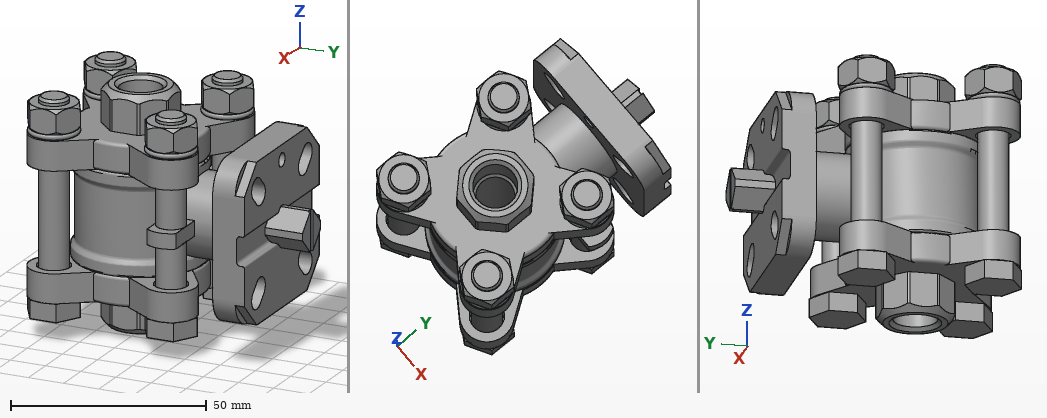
import cadquery as cq
import math


TOTAL_LENGTH = 72.6
TOTAL_HEIGHT = 65.0

BODY_RADIUS = 17.0
COLLAR_RADIUS = 18.0
COLLAR_EDGE = 0.5
SHOULDER_START = 9.0
SHOULDER_END = 11.0
SHOULDER_ARC_RADIUS = 0.95

FLANGE_INNER = 13.95
FLANGE_OUTER = 22.1
DISC_EDGE = 1.0
EAR_RADIUS = 7.0
EAR_FLANK_ANGLE = 34.2

BOLT_OFFSET = 16.6
BOLT_DIAMETER = 8.0
BOLT_HOLE_DIAMETER = 9.0
HEX_FLATS = 12.9
HEX_CORNERS = HEX_FLATS / math.cos(math.pi / 6)
BOLT_HEAD_HEIGHT = 5.0
WASHER_DIAMETER = 13.7
WASHER_THICKNESS = 1.45
NUT_HEIGHT = 7.0
NUT_CHAMFER = 1.1
BOLT_TIP = 32.1
TIP_CHAMFER_HEIGHT = 0.8
TIP_CHAMFER_WIDTH = 0.6

PORT_END = TOTAL_HEIGHT / 2
PORT_FLATS = 19.2
PORT_TURNED_DIAMETER = 20.5
PORT_CHAMFER = 1.9
THREAD_MOUTH_DIAMETER = 13.5
THREAD_DIAMETER = 11.5
THREAD_DEPTH = 11.6
BORE_DIAMETER = 10.0

NECK_DIAMETER = 22.7
PLATE_INNER = 31.1
PLATE_OUTER = 40.1
PLATE_WIDTH = 44.3
PLATE_CORNER_RADIUS = 8.2
CORNER_CUT_LEG = 7.3
CORNER_CUT_DEPTH = 2.6
GROOVE_WIDTH = 8.0
GROOVE_DEPTH = 2.2
GROOVE_BOTTOM_RADIUS = 1.0
GROOVE_TOP_RADIUS = 0.5
SLOT_INNER_RADIUS = 18.0
SLOT_OUTER_RADIUS = 21.0
SLOT_WIDTH = 5.95
PIN_HOLE_DIAMETER = 3.7
PIN_HOLE_HEIGHT = 18.0

STEM_END = TOTAL_LENGTH - BOLT_OFFSET - HEX_CORNERS / 2
STEM_WIDTH = 10.75
STEM_HEIGHT = 11.2
STEM_SQUARE = 9.0
STEM_MARK_WIDTH = 1.45
STEM_MARK_DEPTH = 0.5

LUG_WIDTH = 8.1
LUG_THICKNESS = 4.2

BOLT_CENTERS = [(x * BOLT_OFFSET, y * BOLT_OFFSET) for x in (-1, 1) for y in (-1, 1)]


def cylinder(diameter, bottom, top):
    return cq.Workplane("XY").workplane(offset=bottom).circle(diameter / 2).extrude(top - bottom)


def hexagon(bottom, top):
    """Hexagonal prism with two corners on the Y axis."""
    prism = cq.Workplane("XY").workplane(offset=bottom).polygon(6, HEX_CORNERS).extrude(top - bottom)
    return prism.rotate((0, 0, 0), (0, 0, 1), 90)


def mirrored_in_z(solid):
    return solid.union(solid.mirror("XY"))


def make_body():
    """Upper half of the barrel, turned about Z, then mirrored."""
    arc_width = SHOULDER_ARC_RADIUS * (1 - math.cos(math.pi / 4))
    arc_height = SHOULDER_ARC_RADIUS * math.sin(math.pi / 4)
    mid_width = SHOULDER_ARC_RADIUS * (1 - math.cos(math.pi / 8))
    mid_height = SHOULDER_ARC_RADIUS * math.sin(math.pi / 8)
    half = (
        cq.Workplane("XZ")
        .lineTo(BODY_RADIUS, 0)
        .lineTo(BODY_RADIUS, SHOULDER_START)
        .threePointArc(
            (BODY_RADIUS + mid_width, SHOULDER_START + mid_height),
            (BODY_RADIUS + arc_width, SHOULDER_START + arc_height),
        )
        .lineTo(COLLAR_RADIUS - arc_width, SHOULDER_END - arc_height)
        .threePointArc(
            (COLLAR_RADIUS - mid_width, SHOULDER_END - mid_height),
            (COLLAR_RADIUS, SHOULDER_END),
        )
        .lineTo(COLLAR_RADIUS, FLANGE_INNER - COLLAR_EDGE)
        .radiusArc((COLLAR_RADIUS - COLLAR_EDGE, FLANGE_INNER), -COLLAR_EDGE)
        .lineTo(0, FLANGE_INNER)
        .close()
        .revolve(360, (0, 0, 0), (0, 1, 0))
    )
    return mirrored_in_z(half)


def make_flange():
    """Upper flange: a round disc crossed by four ears with tangent flanks."""
    thickness = FLANGE_OUTER - FLANGE_INNER
    plane = cq.Workplane("XY").workplane(offset=FLANGE_INNER)
    flange = plane.circle(COLLAR_RADIUS).extrude(thickness).edges().fillet(DISC_EDGE)

    angle = math.radians(EAR_FLANK_ANGLE)
    tangent_x = BOLT_OFFSET - EAR_RADIUS * math.sin(angle)
    tangent_y = BOLT_OFFSET + EAR_RADIUS * math.cos(angle)
    flank_foot = tangent_y - tangent_x * math.tan(angle)
    tip = BOLT_OFFSET + EAR_RADIUS / math.sqrt(2)
    ear = (
        plane.lineTo(0, flank_foot)
        .lineTo(tangent_x, tangent_y)
        .threePointArc((tip, tip), (tangent_y, tangent_x))
        .lineTo(flank_foot, 0)
        .close()
        .extrude(thickness)
    )
    for quarter in range(4):
        flange = flange.union(ear.rotate((0, 0, 0), (0, 0, 1), 90 * quarter))

    holes = plane.pushPoints(BOLT_CENTERS).circle(BOLT_HOLE_DIAMETER / 2).extrude(thickness)
    return flange.cut(holes)


def make_port():
    """Upper octagonal port with its turned, chamfered end."""
    octagon = (
        cq.Workplane("XY")
        .workplane(offset=FLANGE_OUTER)
        .polygon(8, PORT_FLATS / math.cos(math.pi / 8))
        .extrude(PORT_END - FLANGE_OUTER)
        .rotate((0, 0, 0), (0, 0, 1), 22.5)
    )
    turned = cylinder(PORT_TURNED_DIAMETER, FLANGE_OUTER, PORT_END).faces(">Z").chamfer(PORT_CHAMFER)
    return octagon.intersect(turned)


def make_bore():
    """Through bore with a chamfered threaded mouth at each end."""
    mouth = (THREAD_MOUTH_DIAMETER - THREAD_DIAMETER) / 2
    step = (THREAD_DIAMETER - BORE_DIAMETER) / 2
    thread_end = PORT_END - THREAD_DEPTH
    half = (
        cq.Workplane("XZ")
        .lineTo(BORE_DIAMETER / 2, 0)
        .lineTo(BORE_DIAMETER / 2, thread_end - step)
        .lineTo(THREAD_DIAMETER / 2, thread_end)
        .lineTo(THREAD_DIAMETER / 2, PORT_END - mouth)
        .lineTo(THREAD_MOUTH_DIAMETER / 2, PORT_END)
        .lineTo(0, PORT_END)
        .close()
        .revolve(360, (0, 0, 0), (0, 1, 0))
    )
    return mirrored_in_z(half)


def make_bolt():
    """Bolt on the Z axis with its head below and washer and nut above."""
    head = hexagon(-FLANGE_OUTER - BOLT_HEAD_HEIGHT, -FLANGE_OUTER)
    shank = (
        cylinder(BOLT_DIAMETER, -FLANGE_OUTER, BOLT_TIP)
        .faces(">Z")
        .edges()
        .chamfer(TIP_CHAMFER_HEIGHT, TIP_CHAMFER_WIDTH)
    )
    nut_bottom = FLANGE_OUTER + WASHER_THICKNESS
    nut_top = nut_bottom + NUT_HEIGHT
    rim_radius = WASHER_THICKNESS / 2
    flat_radius = WASHER_DIAMETER / 2 - rim_radius
    washer = (
        cq.Workplane("XZ", origin=(0, 0, FLANGE_OUTER))
        .lineTo(flat_radius, 0)
        .threePointArc((WASHER_DIAMETER / 2, rim_radius), (flat_radius, WASHER_THICKNESS))
        .lineTo(0, WASHER_THICKNESS)
        .close()
        .revolve(360, (0, 0, 0), (0, 1, 0))
    )
    nut_turning = cylinder(HEX_CORNERS, nut_bottom, nut_top).edges().chamfer(NUT_CHAMFER)
    nut = hexagon(nut_bottom, nut_top).intersect(nut_turning)
    return head.union(shank).union(washer).union(nut)


def along_y(start):
    """Sketch plane facing -Y at the given Y; local axes are X and Z."""
    return cq.Workplane("XZ", origin=(0, start, 0))


def make_plate():
    thickness = PLATE_OUTER - PLATE_INNER
    half = PLATE_WIDTH / 2
    plate = (
        along_y(PLATE_INNER)
        .rect(PLATE_WIDTH, PLATE_WIDTH)
        .extrude(-thickness)
        .edges("|Y")
        .fillet(PLATE_CORNER_RADIUS)
    )

    corner_cut = (
        along_y(PLATE_OUTER)
        .moveTo(half, half)
        .lineTo(half - CORNER_CUT_LEG, half)
        .lineTo(half, half - CORNER_CUT_LEG)
        .close()
        .extrude(CORNER_CUT_DEPTH)
    )
    slot_middle = (SLOT_INNER_RADIUS + SLOT_OUTER_RADIUS) / 2
    slot_length = SLOT_OUTER_RADIUS - SLOT_INNER_RADIUS + SLOT_WIDTH
    slot = (
        along_y(PLATE_INNER)
        .center(slot_middle / math.sqrt(2), slot_middle / math.sqrt(2))
        .slot2D(slot_length, SLOT_WIDTH, 45)
        .extrude(-thickness)
    )
    for quarter in range(4):
        for cutter in (corner_cut, slot):
            plate = plate.cut(cutter.rotate((0, 0, 0), (0, 1, 0), 90 * quarter))

    pin_hole = along_y(PLATE_INNER).center(0, PIN_HOLE_HEIGHT).circle(PIN_HOLE_DIAMETER / 2)
    plate = plate.cut(pin_hole.extrude(-thickness))

    groove = (
        cq.Workplane("XY")
        .box(PLATE_WIDTH, GROOVE_DEPTH, GROOVE_WIDTH)
        .translate((0, PLATE_OUTER - GROOVE_DEPTH / 2, 0))
        .edges("|X and <Y")
        .fillet(GROOVE_BOTTOM_RADIUS)
    )
    plate = plate.cut(groove)
    rim = GROOVE_WIDTH / 2 + GROOVE_TOP_RADIUS
    rim_box = cq.selectors.BoxSelector(
        (-PLATE_WIDTH, PLATE_OUTER - GROOVE_TOP_RADIUS, -rim),
        (PLATE_WIDTH, PLATE_OUTER + GROOVE_TOP_RADIUS, rim),
    )
    return plate.edges("|X").edges(rim_box).fillet(GROOVE_TOP_RADIUS)


def make_stem():
    """Square stem on edge, its corners trimmed, with a position mark across the end."""
    square = along_y(0).rect(STEM_SQUARE, STEM_SQUARE).extrude(-STEM_END)
    square = square.rotate((0, 0, 0), (0, 1, 0), 45)
    trim = along_y(0).rect(STEM_WIDTH, STEM_HEIGHT).extrude(-STEM_END)
    mark = along_y(STEM_END).rect(STEM_MARK_WIDTH, STEM_HEIGHT).extrude(STEM_MARK_DEPTH)
    return square.intersect(trim).cut(mark)


def make_lug():
    """Lug from the body out past one bolt, its end following the flange ear."""
    half_width = LUG_WIDTH / 2
    arc_start = BOLT_OFFSET + math.sqrt(EAR_RADIUS**2 - half_width**2)
    return (
        cq.Workplane("XY", origin=(0, BOLT_OFFSET, -LUG_THICKNESS / 2))
        .moveTo(0, -half_width)
        .lineTo(arc_start, -half_width)
        .threePointArc((BOLT_OFFSET + EAR_RADIUS, 0), (arc_start, half_width))
        .lineTo(0, half_width)
        .close()
        .extrude(LUG_THICKNESS)
    )


neck = along_y(0).circle(NECK_DIAMETER / 2).extrude(-PLATE_INNER)
result = make_body().union(neck)
result = result.union(mirrored_in_z(make_flange().union(make_port())))
result = result.union(make_lug()).union(make_plate()).union(make_stem())
result = result.cut(make_bore())
bolt = make_bolt()
for x, y in BOLT_CENTERS:
    result = result.union(bolt.translate((x, y, 0)))